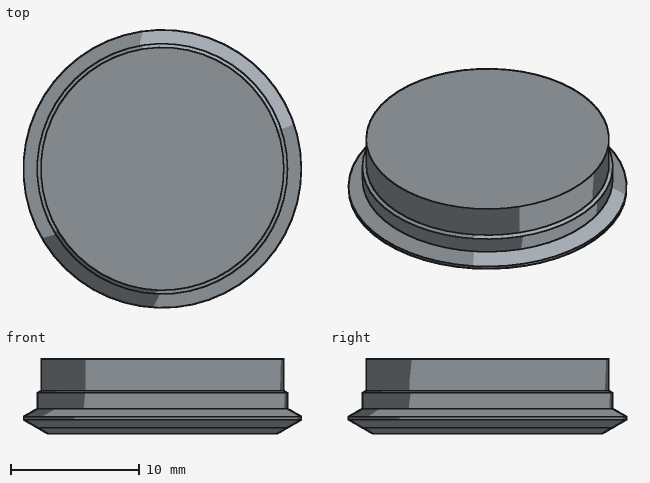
import cadquery as cq
import math

overall_height = 5.85
ring_outer_diameter = 21.7
seat_diameter = 19.53
top_diameter = 18.95
top_cylinder_height = 2.5
ring_bottom = 0.48
ring_height = 1.5
bevel_angle = 30.0

slope = math.tan(math.radians(bevel_angle))
ring_outer_radius = ring_outer_diameter / 2
seat_radius = seat_diameter / 2
top_radius = top_diameter / 2
ring_top = ring_bottom + ring_height
ring_bevel_height = (ring_outer_radius - seat_radius) * slope
bottom_radius = seat_radius - ring_bottom / slope
shoulder_top = overall_height - top_cylinder_height
shoulder_bottom = shoulder_top - (seat_radius - top_radius) * slope


def revolve_profile(points):
    """Revolve a closed (radius, height) outline a full turn about Z."""
    return cq.Workplane("XZ").polyline(points).close().revolve(360, (0, 0), (0, 1))


def make_plug():
    """Stepped round plug with a conical foot and a sloped shoulder."""
    return revolve_profile([
        (0, 0),
        (bottom_radius, 0),
        (seat_radius, ring_bottom),
        (seat_radius, shoulder_bottom),
        (top_radius, shoulder_top),
        (top_radius, overall_height),
        (0, overall_height),
    ])


def make_ring():
    """Double-bevelled ring around the plug; its lower bevel continues the foot cone."""
    return revolve_profile([
        (seat_radius, ring_bottom),
        (ring_outer_radius, ring_bottom + ring_bevel_height),
        (ring_outer_radius, ring_top - ring_bevel_height),
        (seat_radius, ring_top),
    ])


plug = make_plug()
ring = make_ring()

result = cq.Compound.makeCompound([plug.val(), ring.val()])